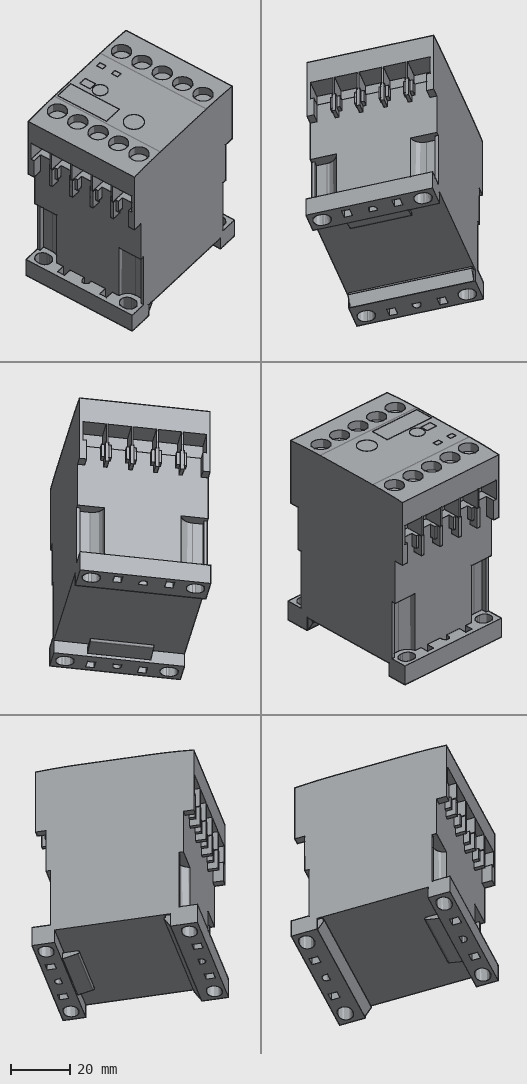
import cadquery as cq

width = 44.8
foot_depth = 57.5
height = 72.3

body_depth = 47.7
head_depth = 54.95
head_bottom = 46.85
flat_top_depth = 25.9
crown_drop = 0.6

foot_height = 7.5
channel_height = 5.1
channel_front = -19.4
channel_back = 20.8

terminal_count = 5
terminal_pitch = 8.6
screw_hole_diameter = 6.8
screw_hole_depth = 3.4
screw_row_y = 18.0
pocket_width = 7.95
pocket_bottom = 54.6
pocket_top = 62.1
pocket_back_y = 20.25
rib_width = 1.2
end_post_width = 2.45
clamp_width = 3.4
clamp_bottom = 49.5
clamp_face_y = 26.0

mount_x = 17.85
mount_y = 24.9
mount_slot_width = 5.2
mount_slot_length = 6.2
relief_x = 17.6
relief_radius = 4.55
relief_top = 30.1
relief_rim_width = 1.15
relief_rim_y = 22.35

notch_width = 2.9
notch_offset = 8.9
square_notch_depth = 3.2
round_notch_depth = 2.3

hook_inset = 0.5
fixed_hook_reach = 2.45
fixed_hook_root = 1.95
fixed_hook_bottom = 0.15
fixed_hook_tip = 3.9
fixed_hook_shoulder = 4.35
clip_width = 21.7
clip_reach = 5.8
clip_root_bottom = 1.2
clip_tip_bottom = 2.45
clip_top = 3.7

mark_depth = 0.1
display_size = (20.5, 7.2)
display_center = (-11.3, -8.4)
button_diameter = 7.15
button_center = (6.6, -6.7)
knob_diameter = 5.35
knob_center = (-11.7, -1.3)
switch_size = (4.35, 3.05)
switch_center = (-17.0, -1.3)
lamp_size = (2.5, 1.9)
lamp_centers = [(-18.45, 8.3), (-12.15, 8.3)]

terminal_xs = [(i - (terminal_count - 1) / 2) * terminal_pitch for i in range(terminal_count)]
rib_xs = [(i - terminal_count / 2) * terminal_pitch for i in range(1, terminal_count)]


def block(x0, x1, y0, y1, z0, z1):
    """Box given by its limits along each axis."""
    return cq.Workplane("XY").box(x1 - x0, y1 - y0, z1 - z0, centered=False).translate((x0, y0, z0))


def centered_block(x, block_width, y0, y1, z0, z1):
    """Box centred on x."""
    return block(x - block_width / 2, x + block_width / 2, y0, y1, z0, z1)


def both_ends(shape):
    """Shape on the -Y end together with its mirror image on the +Y end."""
    return shape.union(shape.mirror("XZ"))


def extrude_profile(sketch, span):
    """Closed YZ profile extruded symmetrically along X."""
    return sketch.extrude(span / 2, both=True)


def make_housing():
    """Stepped side profile: feet, narrow body and wider head with a slightly crowned top."""
    foot_y = foot_depth / 2
    body_y = body_depth / 2
    head_y = head_depth / 2
    flat_y = flat_top_depth / 2
    head_edge = height - crown_drop
    mid_y = (flat_y + head_y) / 2
    mid_z = height - crown_drop / 4
    profile = (
        cq.Workplane("YZ")
        .moveTo(-foot_y, 0)
        .lineTo(channel_front, 0)
        .lineTo(channel_front, channel_height)
        .lineTo(channel_back, channel_height)
        .lineTo(channel_back, 0)
        .lineTo(foot_y, 0)
        .lineTo(foot_y, foot_height)
        .lineTo(body_y, foot_height)
        .lineTo(body_y, head_bottom)
        .lineTo(head_y, head_bottom)
        .lineTo(head_y, head_edge)
        .threePointArc((mid_y, mid_z), (flat_y, height))
        .lineTo(-flat_y, height)
        .threePointArc((-mid_y, mid_z), (-head_y, head_edge))
        .lineTo(-head_y, head_bottom)
        .lineTo(-body_y, head_bottom)
        .lineTo(-body_y, foot_height)
        .lineTo(-foot_y, foot_height)
        .close()
    )
    return extrude_profile(profile, width)


def make_terminal_cuts():
    """Wire pockets and the open bay below them, leaving ribs, end posts and clamp jaws."""
    head_y = head_depth / 2
    body_y = body_depth / 2
    bay = centered_block(0, width - 2 * end_post_width, -head_y, -body_y, head_bottom, pocket_bottom)
    for x in rib_xs:
        bay = bay.cut(centered_block(x, clamp_width, -clamp_face_y, -body_y, clamp_bottom, pocket_bottom))
        bay = bay.cut(centered_block(x, rib_width, -head_y, -body_y, head_bottom, pocket_bottom))
    for x in terminal_xs:
        bay = bay.union(centered_block(x, pocket_width, -head_y, -pocket_back_y, pocket_bottom, pocket_top))
    return both_ends(bay)


def make_screw_holes():
    """Flat-bottomed screw access holes in two rows on the top."""
    centers = [(x, y) for x in terminal_xs for y in (-screw_row_y, screw_row_y)]
    floor = cq.Workplane("XY").workplane(offset=height - screw_hole_depth)
    return floor.pushPoints(centers).circle(screw_hole_diameter / 2).extrude(screw_hole_depth)


def make_corner_relief():
    """Screwdriver clearance above the front mounting hole on the -X side."""
    body_y = body_depth / 2
    relief_height = relief_top - foot_height
    outer_x = -width / 2
    rim_x = outer_x + relief_rim_width
    flat_y = relief_radius - mount_y
    barrel = (
        cq.Workplane("XY")
        .workplane(offset=foot_height)
        .center(-relief_x, -mount_y)
        .circle(relief_radius)
        .extrude(relief_height)
        .intersect(block(rim_x, 0, -foot_depth, 0, foot_height, relief_top))
    )
    flat = block(rim_x, -relief_x, -body_y, flat_y, foot_height, relief_top)
    rim = block(outer_x, rim_x, -body_y, -relief_rim_y, foot_height, relief_top)
    return barrel.union(flat).union(rim)


def make_corner_reliefs():
    """Reliefs above all four mounting holes."""
    relief = make_corner_relief()
    return both_ends(relief.union(relief.mirror("YZ")))


def make_mounting_holes():
    """Slotted holes through the four foot corners."""
    centers = [(x, y) for x in (-mount_x, mount_x) for y in (-mount_y, mount_y)]
    slots = cq.Workplane("XY").pushPoints(centers).slot2D(mount_slot_length, mount_slot_width)
    return slots.extrude(foot_height)


def make_foot_notches():
    """Two square notches and a central round-ended one through each foot, against the body."""
    wall_y = -body_depth / 2
    radius = notch_width / 2
    round_y = wall_y - round_notch_depth + radius
    notches = centered_block(0, notch_width, round_y, wall_y, 0, foot_height)
    round_end = cq.Workplane("XY").center(0, round_y).circle(radius).extrude(foot_height)
    round_end = round_end.intersect(block(-radius, radius, -foot_depth, wall_y, 0, foot_height))
    notches = notches.union(round_end)
    for x in (-notch_offset, notch_offset):
        notches = notches.union(
            centered_block(x, notch_width, wall_y - square_notch_depth, wall_y, 0, foot_height)
        )
    return both_ends(notches)


def make_fixed_hook():
    """Fixed rail hook along the front side of the channel."""
    root_y = channel_front + fixed_hook_root
    profile = (
        cq.Workplane("YZ")
        .moveTo(channel_front, fixed_hook_bottom)
        .lineTo(channel_front + fixed_hook_reach, fixed_hook_tip)
        .lineTo(root_y, fixed_hook_shoulder)
        .lineTo(root_y, channel_height)
        .lineTo(channel_front, channel_height)
        .close()
    )
    return extrude_profile(profile, width - 2 * hook_inset)


def make_spring_clip():
    """Tapered, round-nosed rail clip on the back side of the channel."""
    nose_radius = (clip_top - clip_tip_bottom) / 2
    tip_y = channel_back - clip_reach
    nose_y = tip_y + nose_radius
    profile = (
        cq.Workplane("YZ")
        .moveTo(channel_back, clip_root_bottom)
        .lineTo(nose_y, clip_tip_bottom)
        .threePointArc((tip_y, clip_tip_bottom + nose_radius), (nose_y, clip_top))
        .lineTo(channel_back, clip_top)
        .close()
    )
    return extrude_profile(profile, clip_width)


def make_top_marks():
    """Shallow recesses for the display, buttons, switch and lamps."""
    floor = cq.Workplane("XY").workplane(offset=height - mark_depth)
    marks = floor.pushPoints([display_center]).rect(*display_size).extrude(mark_depth)
    marks = marks.union(floor.pushPoints([button_center]).circle(button_diameter / 2).extrude(mark_depth))
    marks = marks.union(floor.pushPoints([knob_center]).circle(knob_diameter / 2).extrude(mark_depth))
    marks = marks.union(floor.pushPoints([switch_center]).rect(*switch_size).extrude(mark_depth))
    return marks.union(floor.pushPoints(lamp_centers).rect(*lamp_size).extrude(mark_depth))


result = make_housing()
result = result.cut(make_terminal_cuts())
result = result.cut(make_screw_holes())
result = result.cut(make_corner_reliefs())
result = result.cut(make_mounting_holes())
result = result.cut(make_foot_notches())
result = result.union(make_fixed_hook())
result = result.union(make_spring_clip())
result = result.cut(make_top_marks())